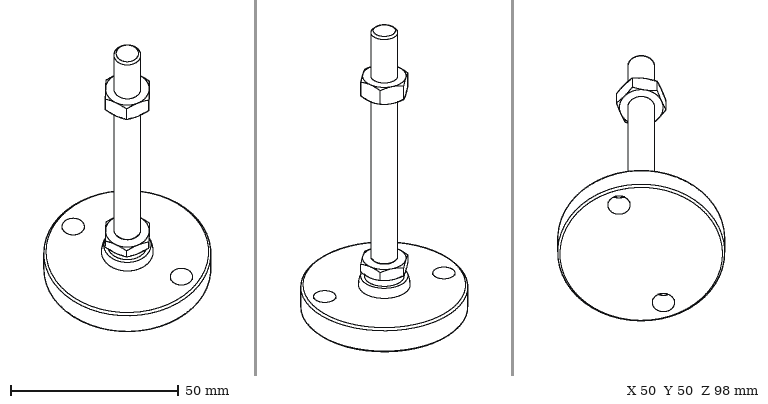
import cadquery as cq
import math

TOTAL_HEIGHT = 98.0

PLATE_DIAMETER = 50.0
PLATE_HEIGHT = 8.5
PLATE_CHAMFER = 0.7
MOUNTING_HOLE_DIAMETER = 6.7
MOUNTING_HOLE_SPACING = 38.0

COLLAR_RADIUS = 7.7
COLLAR_HEIGHT = 3.1

BALL_RADIUS = 6.2
BALL_CENTRE_Z = 10.1
HEX_BOTTOM_Z = 14.0
HEX_HEIGHT = 3.9
ROD_DIAMETER = 8.0
ROD_TOP_CHAMFER = 0.7
ROD_BOTTOM_CHAMFER = 0.5

HEX_ACROSS_FLATS = 13.0
HEX_CHAMFER_ANGLE = 30.0

NUT_BOTTOM_Z = 76.0
NUT_HEIGHT = 6.0


def cylinder(diameter, bottom_z, height):
    return cq.Workplane("XY").workplane(offset=bottom_z).circle(diameter / 2).extrude(height)


def ball():
    return cq.Workplane("XY").sphere(BALL_RADIUS).translate((0, 0, BALL_CENTRE_Z))


def chamfered_hexagon(bottom_z, height):
    """Hexagon with corners on the X axis, turned to a cone at both ends."""
    flat_radius = HEX_ACROSS_FLATS / 2
    corner_radius = flat_radius / math.cos(math.radians(30))
    corner_drop = (corner_radius - flat_radius) * math.tan(math.radians(HEX_CHAMFER_ANGLE))

    prism = cq.Workplane("XY").polygon(6, 2 * corner_radius).extrude(height)
    turned_envelope = (
        cq.Workplane("XZ")
        .moveTo(0, 0)
        .lineTo(flat_radius, 0)
        .lineTo(corner_radius, corner_drop)
        .lineTo(corner_radius, height - corner_drop)
        .lineTo(flat_radius, height)
        .lineTo(0, height)
        .close()
        .revolve(360, (0, 0, 0), (0, 1, 0))
    )
    return prism.intersect(turned_envelope).translate((0, 0, bottom_z))


def make_foot_plate():
    plate = cylinder(PLATE_DIAMETER, 0, PLATE_HEIGHT).edges().chamfer(PLATE_CHAMFER)

    collar_top_radius = math.sqrt(COLLAR_RADIUS**2 - COLLAR_HEIGHT**2)
    arc_middle = COLLAR_RADIUS * math.cos(math.asin(COLLAR_HEIGHT / 2 / COLLAR_RADIUS))
    collar = (
        cq.Workplane("XZ")
        .moveTo(0, PLATE_HEIGHT)
        .lineTo(COLLAR_RADIUS, PLATE_HEIGHT)
        .threePointArc(
            (arc_middle, PLATE_HEIGHT + COLLAR_HEIGHT / 2),
            (collar_top_radius, PLATE_HEIGHT + COLLAR_HEIGHT),
        )
        .lineTo(0, PLATE_HEIGHT + COLLAR_HEIGHT)
        .close()
        .revolve(360, (0, 0, 0), (0, 1, 0))
    )

    mounting_holes = (
        cq.Workplane("XY")
        .rarray(MOUNTING_HOLE_SPACING, 1, 2, 1)
        .circle(MOUNTING_HOLE_DIAMETER / 2)
        .extrude(PLATE_HEIGHT)
    )
    return plate.union(collar).cut(mounting_holes).cut(ball())


def make_spindle():
    rod_bottom_z = HEX_BOTTOM_Z + HEX_HEIGHT

    ball_below_hex = ball().intersect(cylinder(2 * BALL_RADIUS, 0, HEX_BOTTOM_Z))
    hexagon = chamfered_hexagon(HEX_BOTTOM_Z, HEX_HEIGHT)
    rod = cylinder(ROD_DIAMETER, rod_bottom_z, TOTAL_HEIGHT - rod_bottom_z)
    rod = rod.faces(">Z").chamfer(ROD_TOP_CHAMFER)
    rod = rod.faces("<Z").chamfer(ROD_BOTTOM_CHAMFER)
    return ball_below_hex.union(hexagon).union(rod)


def make_lock_nut():
    bore = cylinder(ROD_DIAMETER, NUT_BOTTOM_Z, NUT_HEIGHT)
    return chamfered_hexagon(NUT_BOTTOM_Z, NUT_HEIGHT).cut(bore)


foot_plate = make_foot_plate()
spindle = make_spindle()
lock_nut = make_lock_nut()

result = cq.Compound.makeCompound([foot_plate.solids().val(), spindle.solids().val(), lock_nut.solids().val()])